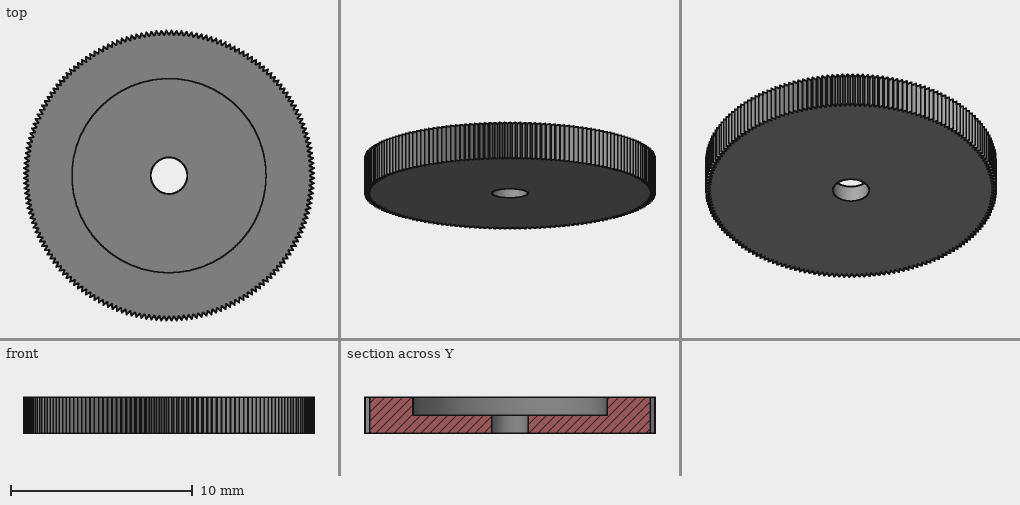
import cadquery as cq
import math

OUTER_DIAMETER = 16.0
THICKNESS = 2.0

TOOTH_COUNT = 180
GROOVE_DEPTH = 0.25

RECESS_DIAMETER = 10.7
RECESS_DEPTH = THICKNESS / 2
BORE_DIAMETER = 2.0


def polar_point(radius, angle):
    return (radius * math.cos(angle), radius * math.sin(angle))


def knurled_disc():
    """Toothed disc with a groove root on the +X axis."""
    crest_radius = OUTER_DIAMETER / 2
    root_radius = crest_radius - GROOVE_DEPTH
    pitch_angle = 2 * math.pi / TOOTH_COUNT
    outline = []
    for tooth in range(TOOTH_COUNT):
        root_angle = tooth * pitch_angle
        outline.append(polar_point(root_radius, root_angle))
        outline.append(polar_point(crest_radius, root_angle + pitch_angle / 2))
    return cq.Workplane("XY").polyline(outline).close().extrude(THICKNESS)


def cut_recess(body):
    recess = (
        cq.Workplane("XY")
        .workplane(offset=THICKNESS - RECESS_DEPTH)
        .circle(RECESS_DIAMETER / 2)
        .extrude(RECESS_DEPTH)
    )
    return body.cut(recess)


def cut_bore(body):
    bore = cq.Workplane("XY").circle(BORE_DIAMETER / 2).extrude(THICKNESS)
    return body.cut(bore)


result = cut_bore(cut_recess(knurled_disc()))